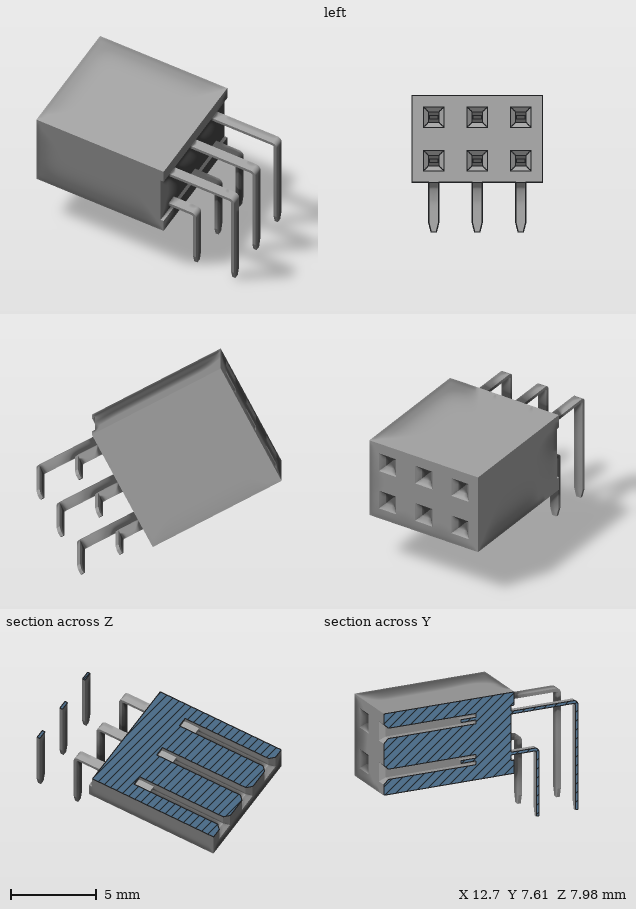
import cadquery as cq

body_width = 7.61
columns = 3
rows = 2
pitch = body_width / columns

overall_length = 12.67
overall_height = 7.98
body_length = 8.5
body_height = rows * pitch
recess_depth = 0.2
recess_rim = 0.85
back_x = body_length - recess_depth

socket_mouth = 1.2
socket_bore = 0.61
funnel_depth = (socket_mouth - socket_bore) / 2
bore_end_x = 6.0

pin_width = 0.61
pin_thickness = 0.2
contact_width = 0.51
contact_length = 1.0
bend_inner_radius = 0.1
bend_outer_radius = bend_inner_radius + pin_thickness
tip_length = 0.58
tip_width = 0.3
pin_bottom_z = body_height - overall_height


def make_housing():
    """Block with a channel running across the full width of its back face."""
    block = cq.Workplane("XY").box(body_length, body_width, body_height, centered=(False, True, False))
    channel = (
        cq.Workplane("XY")
        .box(recess_depth, body_width, body_height - 2 * recess_rim, centered=(False, True, False))
        .translate((back_x, 0, recess_rim))
    )
    return block.cut(channel)


def make_socket(y, z):
    """Square bore with a funnel-shaped mouth on the front face."""
    funnel = (
        cq.Workplane("YZ")
        .rect(socket_mouth, socket_mouth)
        .workplane(offset=funnel_depth)
        .rect(socket_bore, socket_bore)
        .loft(ruled=True)
    )
    bore = cq.Workplane("YZ").rect(socket_bore, socket_bore).extrude(bore_end_x)
    return funnel.union(bore).translate((0, y, z))


def make_pin(y, z, outer_x):
    """Flat right-angle pin: horizontal leg, rounded bend and tapered vertical leg."""
    top_z = z + pin_thickness / 2
    inner_x = outer_x - pin_thickness
    bend_x = outer_x - bend_outer_radius
    bend_z = top_z - bend_outer_radius
    strip = (
        cq.Workplane("XZ")
        .moveTo(bore_end_x, top_z)
        .lineTo(bend_x, top_z)
        .radiusArc((outer_x, bend_z), bend_outer_radius)
        .lineTo(outer_x, pin_bottom_z)
        .lineTo(inner_x, pin_bottom_z)
        .lineTo(inner_x, bend_z)
        .radiusArc((bend_x, top_z - pin_thickness), -bend_inner_radius)
        .lineTo(bore_end_x, top_z - pin_thickness)
        .close()
        .extrude(pin_width / 2, both=True)
    )
    half_width = pin_width / 2
    half_tip = tip_width / 2
    taper_z = pin_bottom_z + tip_length
    outline = (
        cq.Workplane("YZ")
        .polyline([
            (-half_width, top_z),
            (-half_width, taper_z),
            (-half_tip, pin_bottom_z),
            (half_tip, pin_bottom_z),
            (half_width, taper_z),
            (half_width, top_z),
        ])
        .close()
        .extrude(overall_length)
    )
    contact = (
        cq.Workplane("XY")
        .box(contact_length, contact_width, pin_thickness, centered=(False, True, True))
        .translate((bore_end_x - contact_length, 0, z))
    )
    return strip.intersect(outline).union(contact).translate((0, y, 0))


result = make_housing()
column_positions = [(column - (columns - 1) / 2) * pitch for column in range(columns)]

for row in range(rows):
    row_z = (row + 0.5) * pitch
    pin_outer_x = overall_length - (rows - 1 - row) * pitch
    for column_y in column_positions:
        result = result.cut(make_socket(column_y, row_z))
        result = result.union(make_pin(column_y, row_z, pin_outer_x))